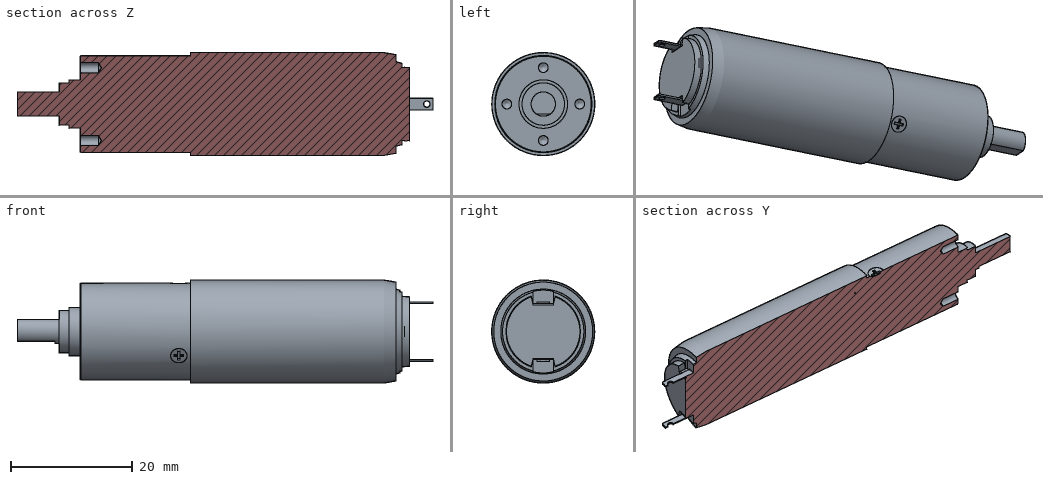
import cadquery as cq
import math

total_length = 68.5

shaft_radius = 2.0
flat_length = 6.2
flat_height = 1.6

bearing_radius = 3.5
bearing_start = 6.9
pilot_radius = 4.0
pilot_start = 8.5

gearbox_radius = 8.0
gearbox_start = 10.35
gearbox_chamfer = 0.12

motor_radius = 8.5
motor_start = 28.5
taper_start = 60.4
taper_end = 62.4
taper_end_radius = 8.15

shoulder_radius = 7.0
shoulder_end = 63.4
shoulder_end_radius = 6.7
cap_radius = 6.15
cap_end_radius = 6.05
cap_end = 64.6

mount_hole_count = 4
mount_hole_radius = 0.8
mount_circle_radius = 6.0
mount_hole_depth = 3.0
drill_point_angle = 118.0

screw_count = 3
screw_x = 26.6
screw_radius = 1.35
screw_top = 7.94
screw_height = 1.0
cross_length = 1.6
cross_width = 0.35
cross_depth = 0.4

terminal_offset = 4.75
terminal_thickness = 0.3
terminal_width = 2.0
terminal_corner = 0.2
terminal_hole_radius = 0.5
terminal_hole_inset = 1.05
slot_start = 63.0
slot_width = 3.4
slot_mouth_width = 4.1
slot_floor_chamfer = 0.2
slot_floor = terminal_offset - terminal_thickness / 2

side_flat_end = 63.8
side_flat_offset = 6.06


def make_body():
    """Turned outline of shaft, bearing, gearbox, motor can and end cap."""
    return (
        cq.Workplane("XY")
        .moveTo(0, 0)
        .lineTo(0, shaft_radius)
        .lineTo(bearing_start, shaft_radius)
        .lineTo(bearing_start, bearing_radius)
        .lineTo(pilot_start, bearing_radius)
        .lineTo(pilot_start, pilot_radius)
        .lineTo(gearbox_start, pilot_radius)
        .lineTo(gearbox_start, gearbox_radius - gearbox_chamfer)
        .lineTo(gearbox_start + gearbox_chamfer, gearbox_radius)
        .lineTo(motor_start, gearbox_radius)
        .lineTo(motor_start, motor_radius)
        .lineTo(taper_start, motor_radius)
        .lineTo(taper_end, taper_end_radius)
        .lineTo(taper_end, shoulder_radius)
        .lineTo(shoulder_end, shoulder_end_radius)
        .lineTo(shoulder_end, cap_radius)
        .lineTo(cap_end, cap_end_radius)
        .lineTo(cap_end, 0)
        .close()
        .revolve(360, (0, 0, 0), (1, 0, 0))
    )


def box_between(x_start, x_end, width, z_start, z_end):
    """Box centred on Y = 0 between two X and two Z limits."""
    return (
        cq.Workplane("XY")
        .box(x_end - x_start, width, z_end - z_start, centered=(False, True, False))
        .translate((x_start, 0, z_start))
    )


def turned(shape, angle):
    """Shape turned about the motor axis."""
    return shape.rotate((0, 0, 0), (1, 0, 0), angle)


def make_shaft_flat():
    """Cutter for the D flat on the underside of the shaft."""
    return box_between(0, flat_length, 2 * shaft_radius, -shaft_radius, -flat_height)


def make_mount_hole():
    """Cutter for the blind drilled hole above the axis in the gearbox face."""
    point_length = mount_hole_radius / math.tan(math.radians(drill_point_angle / 2))
    hole_end = gearbox_start + mount_hole_depth
    return (
        cq.Workplane("XY")
        .moveTo(gearbox_start, 0)
        .lineTo(gearbox_start, mount_hole_radius)
        .lineTo(hole_end, mount_hole_radius)
        .lineTo(hole_end + point_length, 0)
        .close()
        .revolve(360, (0, 0, 0), (1, 0, 0))
        .translate((0, 0, mount_circle_radius))
    )


def screw_disc(base_height):
    """Disc of the screw head diameter standing on a given height above the axis."""
    return cq.Workplane("XY", origin=(screw_x, 0, base_height)).circle(screw_radius).extrude(screw_height)


def add_screw(body, angle):
    """Flat cross-head screw set in the gearbox wall."""
    plug = screw_disc(screw_top - screw_height)
    clearance = screw_disc(screw_top)
    cross_start, cross_end = screw_x - cross_length / 2, screw_x + cross_length / 2
    arm_start, arm_end = screw_x - cross_width / 2, screw_x + cross_width / 2
    cross = (
        box_between(cross_start, cross_end, cross_width, screw_top - cross_depth, screw_top)
        .union(box_between(arm_start, arm_end, cross_length, screw_top - cross_depth, screw_top))
    )
    return body.union(turned(plug, angle)).cut(turned(clearance, angle)).cut(turned(cross, angle))


def make_slot():
    """Cutter for a terminal slot: straight in the shoulder, flared through the end cap."""
    straight = (
        cq.Workplane("XZ")
        .moveTo(slot_start, slot_floor)
        .lineTo(cap_end - slot_floor_chamfer, slot_floor)
        .lineTo(cap_end, slot_floor - slot_floor_chamfer)
        .lineTo(cap_end, shoulder_radius)
        .lineTo(slot_start, shoulder_radius)
        .close()
        .extrude(slot_width / 2, both=True)
    )
    flare = (
        cq.Workplane("YZ", origin=(shoulder_end, 0, 0))
        .moveTo(-slot_width / 2, slot_floor)
        .lineTo(slot_width / 2, slot_floor)
        .lineTo(slot_mouth_width / 2, cap_radius)
        .lineTo(-slot_mouth_width / 2, cap_radius)
        .close()
        .extrude(cap_end - shoulder_end)
    )
    return straight.union(flare)


def make_side_flat():
    """Cutter for the shallow flat at the root of the end cap, before turning to its side."""
    return box_between(shoulder_end, side_flat_end, 2 * cap_radius, side_flat_offset, cap_radius)


def add_terminal(body, angle):
    """Solder tag lying on the floor of a slot in the end cap."""
    tag = (
        box_between(slot_start, total_length, terminal_width,
                    slot_floor, slot_floor + terminal_thickness)
        .edges("|Z and >X").fillet(terminal_corner)
        .faces(">Z").workplane(origin=(total_length - terminal_hole_inset, 0, 0))
        .circle(terminal_hole_radius).cutThruAll()
    )
    return body.cut(turned(make_slot(), angle)).union(turned(tag, angle))


result = make_body().cut(make_shaft_flat())
for index in range(mount_hole_count):
    result = result.cut(turned(make_mount_hole(), index * 360 / mount_hole_count))
for index in range(screw_count):
    result = add_screw(result, index * 360 / screw_count)
for side_angle in (0, 180):
    result = add_terminal(result, side_angle)
for side_angle in (90, 270):
    result = result.cut(turned(make_side_flat(), side_angle))